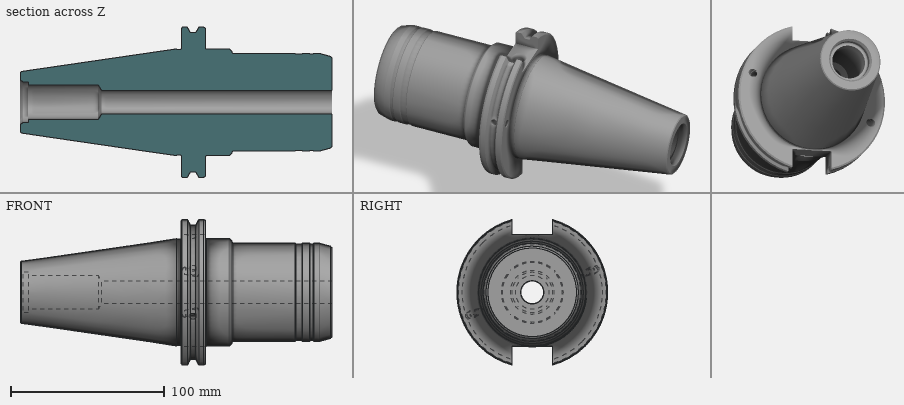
import cadquery as cq
import math

total_length = 203.2
gauge_x = 101.5
flange_start = 104.9
flange_end = 120.7
collar_end = 138.0
feature_x = 112.5

gauge_diameter = 70.0
neck_diameter = 69.3
flange_diameter = 98.3
collar_diameter = 70.0
body_diameter = 64.0
body_groove_diameter = 63.0
nose_diameter = 60.1

taper_ratio = 7 / 24
small_end_diameter = gauge_diameter - taper_ratio * gauge_x
small_end_chamfer = 0.6
neck_fillet = 0.6

flange_front_chamfer = 0.6
flange_front_chamfer_drop = 1.0
flange_back_chamfer = 1.2
flange_back_chamfer_drop = 0.6
v_groove_root_diameter = 91.5
v_groove_root_width = 3.5
v_groove_flank_angle = 30.0

collar_chamfer = 1.6
collar_edge_fillet = 1.0
collar_front_fillet = 0.6
collar_back_fillet = 0.8
body_groove_spans = [(179.0, 183.9), (188.4, 191.2)]
nose_start = 194.9
nose_chamfer = 1.2

through_bore_diameter = 14.8
thread_bore_diameter = 22.0
thread_bore_depth = 50.8
pilot_bore_diameter = 26.2
pilot_bore_depth = 5.3
bore_mouth_diameter = 28.7
bore_mouth_depth = 1.8
drill_point_angle = 118.0

slot_width = 26.2
upper_slot_floor = 37.8
lower_slot_floor = 35.2
dimple_diameter = 9.5

port_angle = 20.0
port_entry_radius = 42.0
port_tilt = 32.0
port_mouth_diameter = 5.0
port_mouth_depth = 2.0
port_diameter = 4.3
port_overrun = 3.0
plug_hole_diameter = 4.0


def revolve_about_x(points):
    """Solid of revolution about X from (x, radius) points."""
    profile = cq.Workplane("XY").polyline(points).close()
    return profile.revolve(360, (0, 0, 0), (1, 0, 0))


def cylinder(start, direction, diameter, length):
    return cq.Workplane(
        cq.Solid.makeCylinder(diameter / 2, length, cq.Vector(*start), cq.Vector(*direction))
    )


def make_shank():
    """Taper, neck, collar and body without the flange."""
    small_radius = small_end_diameter / 2
    chamfer_end_radius = small_radius + small_end_chamfer * taper_ratio / 2
    neck_radius = neck_diameter / 2
    neck_step = gauge_diameter / 2 - neck_radius
    collar_radius = collar_diameter / 2
    body_radius = body_diameter / 2
    nose_radius = nose_diameter / 2
    groove_depth = body_radius - body_groove_diameter / 2
    chamfer_start = collar_end - collar_chamfer
    edge_tangent = collar_edge_fillet * math.tan(math.radians(45 / 2))
    edge_drop = edge_tangent * math.sin(math.radians(45))
    profile = (
        cq.Workplane("XY")
        .moveTo(0, 0)
        .lineTo(0, small_radius - small_end_chamfer)
        .lineTo(small_end_chamfer, chamfer_end_radius)
        .lineTo(gauge_x, gauge_diameter / 2)
        .lineTo(gauge_x + neck_step, neck_radius)
        .lineTo(flange_start - neck_fillet, neck_radius)
        .radiusArc((flange_start, neck_radius + neck_fillet), -neck_fillet)
        .lineTo(flange_end, neck_radius + neck_fillet)
        .lineTo(flange_end, collar_radius + collar_front_fillet)
        .radiusArc((flange_end + collar_front_fillet, collar_radius), -collar_front_fillet)
        .lineTo(chamfer_start - edge_tangent, collar_radius)
        .radiusArc((chamfer_start + edge_drop, collar_radius - edge_drop), collar_edge_fillet)
        .lineTo(collar_end, collar_radius - collar_chamfer)
        .lineTo(collar_end, body_radius + collar_back_fillet)
        .radiusArc((collar_end + collar_back_fillet, body_radius), -collar_back_fillet)
    )
    for groove_start, groove_end in body_groove_spans:
        profile = (
            profile.lineTo(groove_start, body_radius)
            .lineTo(groove_start + groove_depth, body_radius - groove_depth)
            .lineTo(groove_end - groove_depth, body_radius - groove_depth)
            .lineTo(groove_end, body_radius)
        )
    profile = (
        profile.lineTo(nose_start, body_radius)
        .lineTo(total_length - nose_chamfer, nose_radius)
        .lineTo(total_length, nose_radius - nose_chamfer)
        .lineTo(total_length, 0)
        .close()
    )
    return profile.revolve(360, (0, 0, 0), (1, 0, 0))


def make_flange():
    """Flange disc with its V-groove."""
    outer = flange_diameter / 2
    root = v_groove_root_diameter / 2
    half_root = v_groove_root_width / 2
    half_top = half_root + (outer - root) * math.tan(math.radians(v_groove_flank_angle))
    return revolve_about_x([
        (flange_start, 0),
        (flange_start, outer - flange_front_chamfer_drop),
        (flange_start + flange_front_chamfer, outer),
        (feature_x - half_top, outer),
        (feature_x - half_root, root),
        (feature_x + half_root, root),
        (feature_x + half_top, outer),
        (flange_end - flange_back_chamfer, outer),
        (flange_end, outer - flange_back_chamfer_drop),
        (flange_end, 0),
    ])


def make_bore():
    """Mouth cone, pilot, thread bore with a drill-point end, and the through bore."""
    thread_radius = thread_bore_diameter / 2
    through_radius = through_bore_diameter / 2
    cone_length = (thread_radius - through_radius) / math.tan(math.radians(drill_point_angle / 2))
    return revolve_about_x([
        (0, 0),
        (0, bore_mouth_diameter / 2),
        (bore_mouth_depth, pilot_bore_diameter / 2),
        (pilot_bore_depth, pilot_bore_diameter / 2),
        (pilot_bore_depth, thread_radius),
        (thread_bore_depth, thread_radius),
        (thread_bore_depth + cone_length, through_radius),
        (total_length, through_radius),
        (total_length, 0),
    ])


def make_drive_slot(floor, side):
    """Slot through the flange on the +Z (side = 1) or -Z (side = -1) rim."""
    height = flange_diameter / 2 - floor
    middle_x = (flange_start + flange_end) / 2
    slot = cq.Workplane("XY").box(flange_end - flange_start, slot_width, height)
    return slot.translate((middle_x, 0, side * (floor + height / 2)))


def make_dimple():
    """Conical drill-point recess in the floor of the upper slot."""
    radius = dimple_diameter / 2
    depth = radius / math.tan(math.radians(drill_point_angle / 2))
    mouth_center = cq.Vector(feature_x, 0, upper_slot_floor)
    return cq.Workplane(cq.Solid.makeCone(radius, 0, depth, mouth_center, cq.Vector(0, 0, -1)))


def make_coolant_port():
    """Tilted hole from the flange face that meets a radial hole in the V-groove."""
    tilt = math.radians(port_tilt)
    entry = (flange_start, port_entry_radius, 0)
    inward = (math.cos(tilt), -math.sin(tilt), 0)
    run = feature_x - flange_start
    meeting_radius = port_entry_radius - run * math.tan(tilt)
    passage = cylinder(entry, inward, port_diameter, run / math.cos(tilt) + port_overrun)
    lead = port_mouth_diameter
    mouth_start = (entry[0] - lead * inward[0], entry[1] - lead * inward[1], 0)
    mouth = cylinder(mouth_start, inward, port_mouth_diameter, lead + port_mouth_depth)
    plug_length = flange_diameter / 2 - meeting_radius
    plug_hole = cylinder((feature_x, meeting_radius, 0), (0, 1, 0), plug_hole_diameter, plug_length)
    return mouth.union(passage).union(plug_hole)


result = make_shank().union(make_flange()).cut(make_bore())
result = result.cut(make_drive_slot(upper_slot_floor, 1))
result = result.cut(make_drive_slot(lower_slot_floor, -1))
result = result.cut(make_dimple())
coolant_port = make_coolant_port()
for half_turn in (0, 180):
    result = result.cut(coolant_port.rotate((0, 0, 0), (1, 0, 0), port_angle + half_turn))